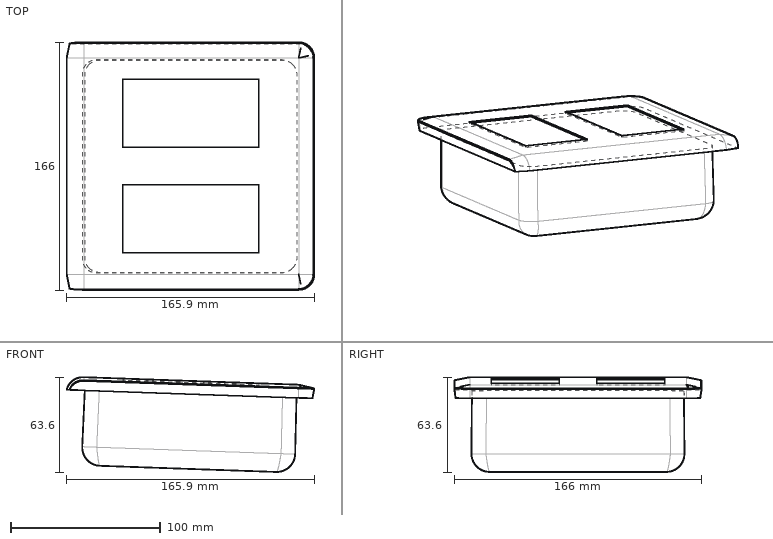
import cadquery as cq
import math


TILT = 2.0

PLATE_WIDTH = 166.0
PLATE_LENGTH = 165.8
PLATE_THICKNESS = 9.0
MARGIN = 10.6
BEVEL_DROP = 2.0
RIM_CHAMFER = 0.7
SIDE_UNDERCUT = 1.0
ROLL_REACH = 11.1

TUB_SIDE = 143.1
TUB_CENTER_X = 0.3
TUB_DEPTH = 59.1
TUB_DRAFT = 0.6
TUB_CORNER_RADIUS = 9.6
TUB_FLOOR_RADIUS = 12.5

WINDOW_LENGTH = 91.0
WINDOW_WIDTH = 45.5
WINDOW_OFFSET_Y = 35.4
WINDOW_CENTER_X = 0.2
WINDOW_DEPTH = 1.0

HALF_WIDTH = PLATE_WIDTH / 2
X_MAX = HALF_WIDTH
X_MIN = X_MAX - PLATE_LENGTH
ROLL_X = X_MIN + ROLL_REACH
FLAT_X = X_MAX - MARGIN
FLAT_Y = HALF_WIDTH - MARGIN
RIM_DROP = BEVEL_DROP + RIM_CHAMFER
ROLL_RADIUS = (ROLL_REACH**2 + PLATE_THICKNESS**2) / (2 * PLATE_THICKNESS)


def rolled_outline(y, inset, end_points):
    """Plate outline in the XZ plane at the given Y, with its top and roll moved in by inset."""
    radius = ROLL_RADIUS - inset
    tip_angle = math.asin((ROLL_RADIUS - PLATE_THICKNESS) / radius)
    mid_angle = (tip_angle + math.pi / 2) / 2

    def on_roll(angle):
        return (ROLL_X - radius * math.cos(angle), radius * math.sin(angle) - ROLL_RADIUS)

    return (
        cq.Workplane("XZ", origin=(0, y, 0))
        .moveTo(*on_roll(tip_angle))
        .threePointArc(on_roll(mid_angle), (ROLL_X, -inset))
        .polyline([(FLAT_X, -inset)] + end_points + [(FLAT_X, -PLATE_THICKNESS)], includeCurrent=True)
        .close()
    )


def margin_points(inner, outer):
    """Section of the beveled margin, from the top face out over the rim to the underside."""
    return [
        (inner, 0),
        (outer - RIM_CHAMFER, -BEVEL_DROP),
        (outer, -RIM_DROP),
        (outer - SIDE_UNDERCUT, -PLATE_THICKNESS),
        (inner, -PLATE_THICKNESS),
    ]


def plate_middle():
    """Full-length middle of the plate, with the +X margin and the roll."""
    end_points = margin_points(FLAT_X, X_MAX)[1:-1]
    return rolled_outline(FLAT_Y, 0, end_points).extrude(2 * FLAT_Y)


def side_layer(y_inner, inset_inner, y_outer, inset_outer):
    inner = rolled_outline(y_inner, inset_inner, []).val()
    outer = rolled_outline(y_outer, inset_outer, []).val()
    return cq.Workplane(cq.Solid.makeLoft([inner, outer], True))


def plate_side():
    """Beveled margin along +Y; the bevel follows the roll down to the underside."""
    rim_y = HALF_WIDTH - RIM_CHAMFER
    bevel = side_layer(FLAT_Y, 0, rim_y, BEVEL_DROP)
    chamfer = side_layer(rim_y, BEVEL_DROP, HALF_WIDTH, RIM_DROP)
    undercut = (
        cq.Workplane("YZ", origin=(X_MIN, 0, 0))
        .polyline([
            (HALF_WIDTH, -RIM_DROP),
            (HALF_WIDTH, -PLATE_THICKNESS),
            (HALF_WIDTH - SIDE_UNDERCUT, -PLATE_THICKNESS),
        ])
        .close()
        .extrude(PLATE_LENGTH)
    )
    return bevel.union(chamfer).cut(undercut)


def plate_corner():
    """Rounded +X +Y corner: the margin section turned about the corner of the flat top."""
    return (
        cq.Workplane("XZ")
        .polyline(margin_points(0, MARGIN))
        .close()
        .revolve(90, (0, 0, 0), (0, 1, 0))
        .translate((FLAT_X, FLAT_Y, 0))
    )


def tub():
    height = TUB_DEPTH - PLATE_THICKNESS / 2
    return (
        cq.Workplane("XY", origin=(TUB_CENTER_X, 0, -TUB_DEPTH))
        .rect(TUB_SIDE, TUB_SIDE)
        .extrude(height, taper=TUB_DRAFT)
        .edges("not(#Z)")
        .fillet(TUB_CORNER_RADIUS)
        .faces("<Z")
        .edges()
        .fillet(TUB_FLOOR_RADIUS)
    )


def windows():
    return (
        cq.Workplane("XY")
        .pushPoints([(WINDOW_CENTER_X, -WINDOW_OFFSET_Y), (WINDOW_CENTER_X, WINDOW_OFFSET_Y)])
        .rect(WINDOW_LENGTH, WINDOW_WIDTH)
        .extrude(-WINDOW_DEPTH)
    )


plate = plate_middle()
for margin_part in (plate_side(), plate_corner()):
    plate = plate.union(margin_part).union(margin_part.mirror("XZ"))

level_part = plate.union(tub()).cut(windows())
result = level_part.rotate((0, 0, 0), (0, 1, 0), TILT)